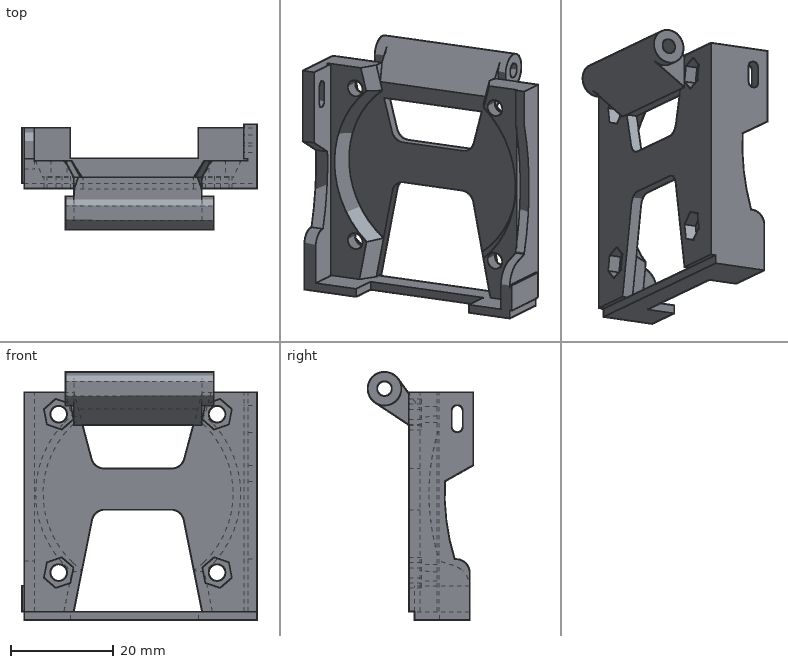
import cadquery as cq
import math

LEFT_X = -22.25
RIGHT_X = 23.35
TOP_Z = 44.6
FLOOR_TOP_Z = 1.65
FLOOR_FRONT_Y = 1.05
PLATE_BACK_Y = 2.2
BLOCK_BACK_Y = 5.45
SIDE_BACK_Y = 5.85
FOOT_BACK_Y = 11.95

SCREW_CENTER_Z = 24.8
SCREW_OFFSET = 15.5
SCREW_DIAMETER = 3.2
NUT_DIAMETER = 6.1
NUT_DEPTH = 2.45
NUT_TURN = 19.0

WINDOW_WIDE_HALF = 12.55
WINDOW_NARROW_HALF = 8.55
CROSSBAR_BOTTOM_Z = 21.6
CROSSBAR_TOP_Z = 29.7
WINDOW_RADIUS = 2.5
UPPER_FLARE = 27.0
LOWER_FLARE = 31.0
WINDOW_OVERRUN = 5.85

CONE_FRONT_RADIUS = 18.6
CONE_SLOPE = 0.45

WAIST_RADIUS = 43.25
LEFT_WAIST_Y = 3.9
RIGHT_WAIST_Y = 7.05

LEFT_WALL = 1.95
LEFT_FOOT_TOP_Z = 11.6
LEFT_FOOT_ARC = [(8.15, 10.9), (10.55, 9.6), (FOOT_BACK_Y, 6.25)]
PAD_THICKNESS = 0.45
PAD_TOP_Z = 6.75

RIGHT_WALL = 1.8
LINER_THICKNESS = 0.8
LUG_BACK_Y = 12.65
LUG_BOTTOM_Z = 30.3
WAIST_TOP_Z = 27.15
RIGHT_FOOT_TOP_Z = 11.95
RIGHT_FOOT_RADIUS = 2.75
SLOT_WIDTH = 2.1
SLOT_LENGTH = 5.25
SLOT_Y = 9.5
SLOT_Z = 39.4

FLOOR_STRIP_BACK_Y = 6.0
CUTOUT_LEFT_X = -13.2
CUTOUT_RIGHT_X = 11.8

BARREL_DIAMETER = 6.6
BARREL_BORE = 2.8
BARREL_Y = -4.75
BARREL_Z = 48.6 - BARREL_DIAMETER / 2
BARREL_LEFT_X = -14.2
BARREL_LENGTH = 29.05
WEB_TOP_ANGLE = 36.0
WEB_BOTTOM_ANGLE = 33.6


def box(x0, x1, y0, y1, z0, z1):
    """Box given by its limits along each axis."""
    return cq.Workplane("XY").box(x1 - x0, y1 - y0, z1 - z0, centered=False).translate((x0, y0, z0))


def facing_back(y):
    """Workplane at depth y: local x is -X, local y is Z, extrusions run toward +Y."""
    return cq.Workplane("XZ", origin=(0, y, 0)).transformed(rotate=(0, 180, 0))


def window_cutter(narrow_z, wide_z, flare_angle):
    """Trapezoid through the plate that flares outward behind it."""
    slope = (WINDOW_WIDE_HALF - WINDOW_NARROW_HALF) / (wide_z - narrow_z)
    open_z = wide_z + math.copysign(WINDOW_OVERRUN, wide_z - narrow_z)
    open_half = WINDOW_NARROW_HALF + slope * (open_z - narrow_z)
    outline = [
        (-WINDOW_NARROW_HALF, narrow_z),
        (WINDOW_NARROW_HALF, narrow_z),
        (open_half, open_z),
        (-open_half, open_z),
    ]
    prism = facing_back(0).polyline(outline).close().extrude(PLATE_BACK_Y)
    narrow_end = "<Z" if wide_z > narrow_z else ">Z"
    prism = prism.faces(narrow_end).edges("|Y").fillet(WINDOW_RADIUS)
    flare = (
        facing_back(PLATE_BACK_Y)
        .polyline(outline)
        .close()
        .extrude(SIDE_BACK_Y - PLATE_BACK_Y, taper=-flare_angle)
    )
    return prism.union(flare)


def cone_cutter():
    """Cone that widens toward the back, starting at the back of the plate."""
    depth = SIDE_BACK_Y - PLATE_BACK_Y
    solid = cq.Solid.makeCone(
        CONE_FRONT_RADIUS,
        CONE_FRONT_RADIUS + CONE_SLOPE * depth,
        depth,
        cq.Vector(0, PLATE_BACK_Y, SCREW_CENTER_Z),
        cq.Vector(0, 1, 0),
    )
    return cq.Workplane(obj=solid)


def waist_depth(middle_y, z):
    """Y of the waist arc at height z, for an arc that reaches middle_y at mid height."""
    return middle_y + WAIST_RADIUS - math.sqrt(WAIST_RADIUS**2 - (z - SCREW_CENTER_Z) ** 2)


def left_waist_cutter():
    """Cylinder along X that hollows the left wall down to the block beside it."""
    return (
        cq.Workplane("YZ", origin=(LEFT_X, LEFT_WAIST_Y + WAIST_RADIUS, SCREW_CENTER_Z))
        .circle(WAIST_RADIUS)
        .extrude(LEFT_WALL)
    )


def body():
    """Plate with thick corner blocks and left side wall, opened by the windows and the cone."""
    blocks = box(LEFT_X, RIGHT_X, 0, BLOCK_BACK_Y, FLOOR_TOP_Z, TOP_Z)
    left_edge = box(LEFT_X, LEFT_X + LEFT_WALL, 0, SIDE_BACK_Y, FLOOR_TOP_Z, TOP_Z)
    return (
        blocks.union(left_edge)
        .cut(left_waist_cutter())
        .cut(window_cutter(CROSSBAR_TOP_Z, TOP_Z, UPPER_FLARE))
        .cut(window_cutter(CROSSBAR_BOTTOM_Z, FLOOR_TOP_Z, LOWER_FLARE))
        .cut(cone_cutter())
    )


def floor():
    """Bottom plate with a wide cutout at the back."""
    plate = box(LEFT_X, RIGHT_X, FLOOR_FRONT_Y, FOOT_BACK_Y, 0, FLOOR_TOP_Z)
    return plate.cut(box(CUTOUT_LEFT_X, CUTOUT_RIGHT_X, FLOOR_STRIP_BACK_Y, FOOT_BACK_Y, 0, FLOOR_TOP_Z))


def left_foot():
    """Rounded foot of the left wall and the thin pad on its outer face."""
    arc_start, arc_middle, arc_end = LEFT_FOOT_ARC
    foot = (
        cq.Workplane("YZ", origin=(LEFT_X, 0, 0))
        .moveTo(FLOOR_FRONT_Y, 0)
        .lineTo(FOOT_BACK_Y, 0)
        .lineTo(*arc_end)
        .threePointArc(arc_middle, arc_start)
        .lineTo(SIDE_BACK_Y, LEFT_FOOT_TOP_Z)
        .lineTo(FLOOR_FRONT_Y, LEFT_FOOT_TOP_Z)
        .close()
        .extrude(LEFT_WALL)
    )
    pad = box(LEFT_X - PAD_THICKNESS, LEFT_X, FLOOR_FRONT_Y, FOOT_BACK_Y, FLOOR_TOP_Z, PAD_TOP_Z)
    return foot.union(pad)


def right_wall():
    """Right wall with a slotted lug at the top, a hollow waist and a rounded foot."""
    arc_y = FOOT_BACK_Y - RIGHT_FOOT_RADIUS
    arc_z = RIGHT_FOOT_TOP_Z - RIGHT_FOOT_RADIUS
    diagonal = RIGHT_FOOT_RADIUS * math.sqrt(0.5)
    waist_z = (WAIST_TOP_Z + RIGHT_FOOT_TOP_Z) / 2
    waist_middle = (waist_depth(RIGHT_WAIST_Y, waist_z), waist_z)
    waist_top = (waist_depth(RIGHT_WAIST_Y, WAIST_TOP_Z), WAIST_TOP_Z)
    foot_top = (waist_depth(RIGHT_WAIST_Y, RIGHT_FOOT_TOP_Z), RIGHT_FOOT_TOP_Z)
    profile = (
        cq.Workplane("YZ", origin=(RIGHT_X, 0, 0))
        .moveTo(FLOOR_FRONT_Y, 0)
        .lineTo(FOOT_BACK_Y, 0)
        .lineTo(FOOT_BACK_Y, arc_z)
        .threePointArc((arc_y + diagonal, arc_z + diagonal), (arc_y, RIGHT_FOOT_TOP_Z))
        .lineTo(*foot_top)
        .threePointArc(waist_middle, waist_top)
        .lineTo(LUG_BACK_Y, LUG_BOTTOM_Z)
        .lineTo(LUG_BACK_Y, TOP_Z)
        .lineTo(FLOOR_FRONT_Y, TOP_Z)
        .close()
    )
    inner_x = RIGHT_X - RIGHT_WALL - LINER_THICKNESS
    wall = profile.extrude(-RIGHT_WALL - LINER_THICKNESS)
    wall = wall.cut(box(inner_x, RIGHT_X - RIGHT_WALL, 0, SIDE_BACK_Y, 0, TOP_Z))
    slot = (
        cq.Workplane("YZ", origin=(inner_x, SLOT_Y, SLOT_Z))
        .slot2D(SLOT_LENGTH, SLOT_WIDTH, 90)
        .extrude(RIGHT_X - inner_x)
    )
    return wall.cut(slot)


def hinge():
    """Barrel carried by a web whose faces run tangent to it into the plate."""
    radius = BARREL_DIAMETER / 2
    top = math.radians(WEB_TOP_ANGLE)
    bottom = math.radians(WEB_BOTTOM_ANGLE)
    top_tangent = (BARREL_Y + radius * math.cos(top), BARREL_Z + radius * math.sin(top))
    bottom_tangent = (BARREL_Y - radius * math.sin(bottom), BARREL_Z - radius * math.cos(bottom))
    web_top_z = top_tangent[1] - (PLATE_BACK_Y - top_tangent[0]) / math.tan(top)
    web_bottom_z = bottom_tangent[1] + bottom_tangent[0] * math.tan(bottom)
    web = (
        cq.Workplane("YZ", origin=(-WINDOW_WIDE_HALF, 0, 0))
        .polyline(
            [
                (BARREL_Y, BARREL_Z),
                bottom_tangent,
                (0, web_bottom_z),
                (PLATE_BACK_Y, web_bottom_z),
                (PLATE_BACK_Y, web_top_z),
                top_tangent,
            ]
        )
        .close()
        .extrude(2 * WINDOW_WIDE_HALF)
    )
    barrel_plane = cq.Workplane("YZ", origin=(BARREL_LEFT_X, BARREL_Y, BARREL_Z))
    barrel = barrel_plane.circle(radius).extrude(BARREL_LENGTH)
    bore = barrel_plane.circle(BARREL_BORE / 2).extrude(BARREL_LENGTH)
    return web.union(barrel).cut(bore)


def screw_cutter(side, level):
    """Screw hole and nut pocket; side and level are -1 or 1 and mirror the turned hexagon."""
    x = side * SCREW_OFFSET
    z = SCREW_CENTER_Z + level * SCREW_OFFSET
    corners = []
    for index in range(6):
        angle = math.radians(NUT_TURN + 60 * index)
        corner_x = x - side * NUT_DIAMETER / 2 * math.cos(angle)
        corner_z = z - level * NUT_DIAMETER / 2 * math.sin(angle)
        corners.append((corner_x, corner_z))
    pocket = cq.Workplane("XZ").polyline(corners).close().extrude(-NUT_DEPTH)
    hole = cq.Workplane("XZ").center(x, z).circle(SCREW_DIAMETER / 2).extrude(-SIDE_BACK_Y)
    return pocket.union(hole)


result = body().union(floor()).union(left_foot()).union(right_wall()).union(hinge())
for side in (-1, 1):
    for level in (-1, 1):
        result = result.cut(screw_cutter(side, level))